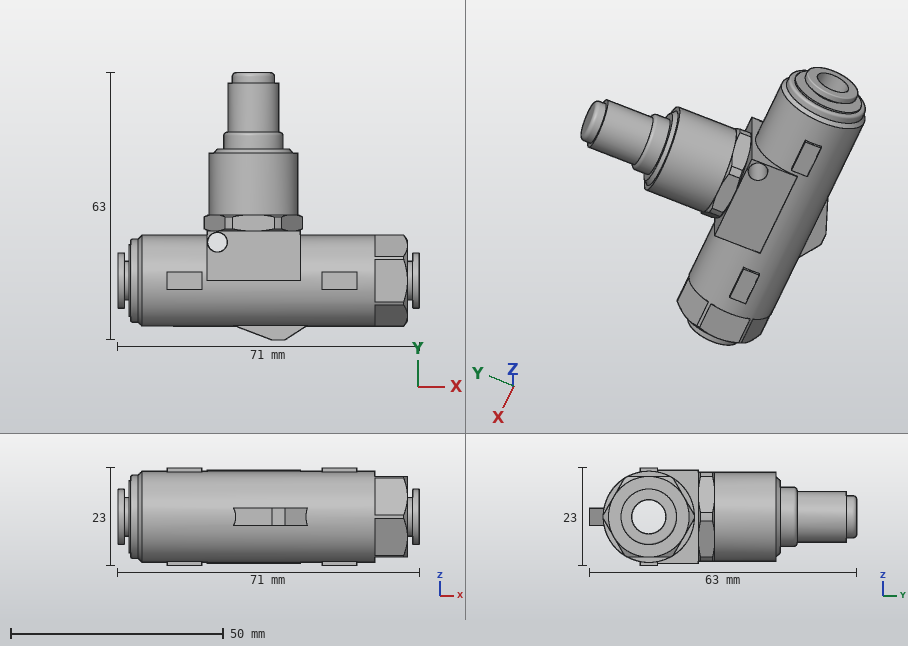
import cadquery as cq
import math


tube_radius = 10.75
tube_start = -26.2
tube_end = 28.6
bore_radius = 4.0

cap_radius = 9.85
cap_start = -28.9
cap_fillet = 0.6
cone_length = tube_radius - cap_radius
cap_disc_radius = 8.5
cap_disc_start = -29.3

tube_hex_flats = 19.0
tube_hex_end = 36.3
tube_hex_chamfer_length = 0.9
tube_hex_chamfer_depth = 1.25

collet_left_face = -31.9
collet_right_face = 39.1
collet_flange_radius = 6.55
collet_flange_thickness = 1.6
collet_neck_radius = 4.6
collet_fillet = 0.3

block_width = 22.0
block_height = 22.0
block_center_x = 0.1
block_end = 11.7
mount_hole_diameter = 4.6
mount_hole_x = -8.45
mount_hole_y = 9.05

pad_length = 8.2
pad_width = 4.1
pad_span = 23.0
pad_centers_x = (-16.2, 20.3)

lug_thickness = 4.1
lug_tip_y = -14.0
lug_tip_left = 4.4
lug_tip_right = 7.4
lug_root_y = -9.5
lug_left_run = 2.63
lug_right_run = 1.54

nut_flats = 21.0
nut_corner_radius = 11.6
nut_end = 15.5
nut_chamfer_radius = 10.6
nut_chamfer_length = 0.5

barrel_radius = 10.5
barrel_end = 30.0
shoulder_base_radius = 9.4
shoulder_top_radius = 8.5
shoulder_end = 31.0
collar_radius = 7.0
collar_end = 34.95
collar_fillet = 0.85
stem_radius = 6.0
stem_end = 46.5
tip_radius = 5.0
tip_end = 49.0
tip_fillet = 1.0


def x_cylinder(radius, start, end):
    """Cylinder along X between two X positions."""
    return cq.Workplane("YZ").workplane(offset=start).circle(radius).extrude(end - start)


def y_cylinder(radius, start, end):
    """Cylinder along Y between two Y positions."""
    return cq.Workplane("XZ").workplane(offset=-start).circle(radius).extrude(start - end)


def hexagon_diameter(across_flats):
    """Diameter over the corners of a hexagon."""
    return across_flats / math.cos(math.pi / 6)


def make_tube():
    """Tube with its cone, end cap and cap disc."""
    cone_start = tube_start - cone_length
    profile = [
        (cap_start, 0),
        (cap_start, cap_radius),
        (cone_start, cap_radius),
        (tube_start, tube_radius),
        (tube_end, tube_radius),
        (tube_end, 0),
    ]
    tube = cq.Workplane("XY").polyline(profile).close().revolve(360, (0, 0, 0), (1, 0, 0))
    tube = tube.faces("<X").edges().fillet(cap_fillet)
    return tube.union(x_cylinder(cap_disc_radius, cap_disc_start, cap_start))


def make_tube_hex():
    """Hexagon with flats on +Z and -Z, its corners turned down to the tube and its end coned."""
    length = tube_hex_end - tube_end
    hexagon = (
        cq.Workplane("YZ")
        .workplane(offset=tube_end)
        .polygon(6, hexagon_diameter(tube_hex_flats))
        .extrude(length)
    )
    envelope = [
        (tube_end, 0),
        (tube_end, tube_radius),
        (tube_hex_end - tube_hex_chamfer_length, tube_radius),
        (tube_hex_end, tube_radius - tube_hex_chamfer_depth),
        (tube_hex_end, 0),
    ]
    turned = cq.Workplane("XY").polyline(envelope).close().revolve(360, (0, 0, 0), (1, 0, 0))
    return hexagon.intersect(turned)


def make_collet(outer_face, seat):
    """Flanged collet reaching from its outer face to the seat it rests on."""
    inward = math.copysign(1, seat - outer_face)
    flange = x_cylinder(collet_flange_radius, outer_face, outer_face + inward * collet_flange_thickness)
    flange = flange.edges().fillet(collet_fillet)
    return flange.union(x_cylinder(collet_neck_radius, outer_face + inward * collet_flange_thickness, seat))


def make_block():
    """Block from the tube axis to the plug seat, sitting over the tube."""
    return cq.Workplane("XY").box(block_width, block_end, block_height).translate(
        (block_center_x, block_end / 2, 0)
    )


def make_lug():
    """Wedge with a flat tip and two slopes running into the tube."""
    depth = lug_root_y - lug_tip_y
    outline = [
        (lug_tip_left - depth * lug_left_run, lug_root_y),
        (lug_tip_left, lug_tip_y),
        (lug_tip_right, lug_tip_y),
        (lug_tip_right + depth * lug_right_run, lug_root_y),
    ]
    return cq.Workplane("XY").polyline(outline).close().extrude(lug_thickness / 2, both=True)


def make_housing():
    """Tee housing with both collets, bored through along X."""
    housing = make_tube().union(make_tube_hex())
    housing = housing.union(make_collet(collet_left_face, cap_disc_start))
    housing = housing.union(make_collet(collet_right_face, tube_hex_end))
    housing = housing.union(make_block()).union(make_lug())
    for pad_x in pad_centers_x:
        pads = cq.Workplane("XY").box(pad_length, pad_width, pad_span).translate((pad_x, 0, 0))
        housing = housing.union(pads)
    mount_hole = (
        cq.Workplane("XY")
        .center(mount_hole_x, mount_hole_y)
        .circle(mount_hole_diameter / 2)
        .extrude(block_height, both=True)
    )
    bore = x_cylinder(bore_radius, collet_left_face, collet_right_face)
    return housing.cut(mount_hole).cut(bore)


def make_nut():
    """Hexagonal nut with flats on +Z and -Z, turned corners and both ends chamfered."""
    hexagon = (
        cq.Workplane("XZ")
        .workplane(offset=-block_end)
        .polygon(6, hexagon_diameter(nut_flats))
        .extrude(block_end - nut_end)
    )
    envelope = [
        (0, block_end),
        (nut_chamfer_radius, block_end),
        (nut_corner_radius, block_end + nut_chamfer_length),
        (nut_corner_radius, nut_end - nut_chamfer_length),
        (nut_chamfer_radius, nut_end),
        (0, nut_end),
    ]
    turned = cq.Workplane("XY").polyline(envelope).close().revolve(360, (0, 0, 0), (0, 1, 0))
    return hexagon.intersect(turned)


def make_plug():
    """Plug seated on the block: nut, barrel, shoulder, collar, stem and tip."""
    shoulder_profile = [
        (0, barrel_end),
        (shoulder_base_radius, barrel_end),
        (shoulder_top_radius, shoulder_end),
        (0, shoulder_end),
    ]
    shoulder = cq.Workplane("XY").polyline(shoulder_profile).close().revolve(360, (0, 0, 0), (0, 1, 0))
    collar = y_cylinder(collar_radius, shoulder_end, collar_end).faces(">Y").edges().fillet(collar_fillet)
    tip = y_cylinder(tip_radius, stem_end, tip_end).faces(">Y").edges().fillet(tip_fillet)
    plug = make_nut().union(y_cylinder(barrel_radius, nut_end, barrel_end))
    plug = plug.union(shoulder).union(collar)
    return plug.union(y_cylinder(stem_radius, collar_end, stem_end)).union(tip)


housing = make_housing()
plug = make_plug()

result = cq.Compound.makeCompound([housing.val(), plug.val()])